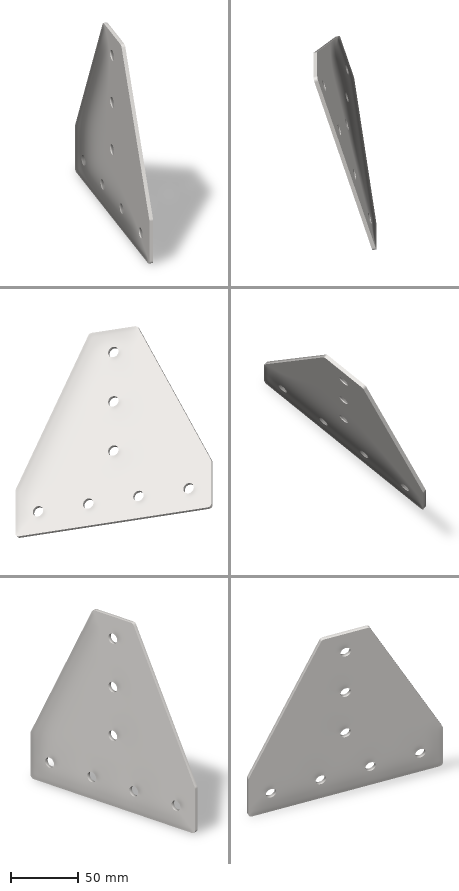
import cadquery as cq

width = 156.0
height = 156.0
thickness = 3.0

top_width = 38.0
side_height = 37.8
corner_radius = 3.0

hole_diameter = 8.3
hole_pitch = 40.0
edge_distance = 18.0
row_count = 4
column_count = 3


def make_plate():
    """Tapered plate centred on the origin, with every corner rounded."""
    half_width = width / 2
    half_top = top_width / 2
    bottom = -height / 2
    top = height / 2
    shoulder = bottom + side_height
    outline = [
        (-half_width, bottom),
        (half_width, bottom),
        (half_width, shoulder),
        (half_top, top),
        (-half_top, top),
        (-half_width, shoulder),
    ]
    plate = cq.Workplane("XZ").polyline(outline).close().extrude(thickness / 2, both=True)
    return plate.edges("|Y").fillet(corner_radius)


def hole_centers():
    """Centres of the T-shaped hole pattern in the XZ plane."""
    row_z = -height / 2 + edge_distance
    row_start = -hole_pitch * (row_count - 1) / 2
    row = [(row_start + i * hole_pitch, row_z) for i in range(row_count)]
    column = [(0, row_z + i * hole_pitch) for i in range(1, column_count + 1)]
    return row + column


def make_holes():
    """Cylinders that cut right through the plate."""
    return (
        cq.Workplane("XZ")
        .pushPoints(hole_centers())
        .circle(hole_diameter / 2)
        .extrude(thickness, both=True)
    )


result = make_plate().cut(make_holes())